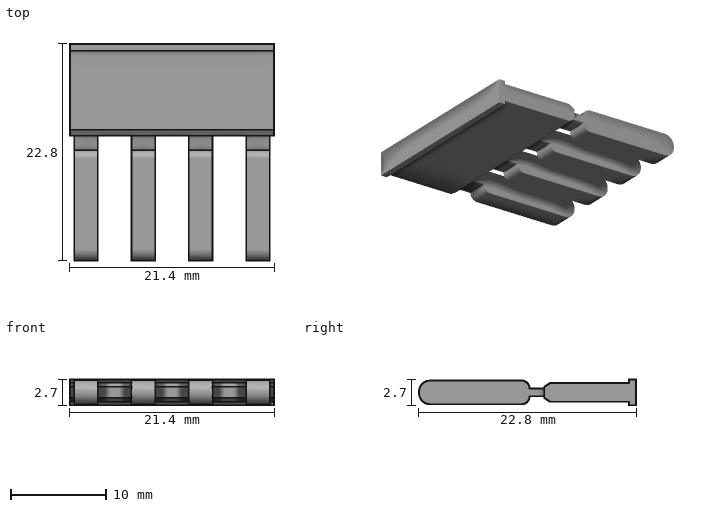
import cadquery as cq

width = 21.4
length = 22.75
height = 2.7

flange_depth = 0.75
body_depth = 9.65
body_thickness = 1.98
chamfer_depth = 0.64
chamfer_height = 0.4

pin_count = 4
pin_pitch = 6.0
pin_width = 2.5
pin_thickness = 2.5
neck_length = 1.5
neck_thickness = 0.85
shoulder_radius = 0.85
tip_radius = 1.18

back_y = length / 2
tip_y = -length / 2
body_front_y = back_y - body_depth
pin_back_y = body_front_y - neck_length


def block(size_x, back, front, size_z):
    """Box centred in X and Z that runs from back to front along Y."""
    return cq.Workplane("XY").box(size_x, back - front, size_z).translate((0, (back + front) / 2, 0))


def make_body():
    flange = block(width, back_y, back_y - flange_depth, height)
    half = body_thickness / 2
    nose_half = half - chamfer_height
    chamfer_y = body_front_y + chamfer_depth
    plate = (
        cq.Workplane("YZ")
        .polyline([
            (back_y, half),
            (chamfer_y, half),
            (body_front_y, nose_half),
            (body_front_y, -nose_half),
            (chamfer_y, -half),
            (back_y, -half),
        ])
        .close()
        .extrude(width / 2, both=True)
    )
    return flange.union(plate)


def make_pin():
    blade = block(pin_width, pin_back_y, tip_y, pin_thickness)
    blade = blade.faces(">Y").edges("|X").fillet(shoulder_radius)
    blade = blade.faces("<Y").edges("|X").fillet(tip_radius)
    neck = block(pin_width, back_y - flange_depth, pin_back_y - shoulder_radius, neck_thickness)
    return blade.union(neck)


result = make_body()
pin = make_pin()
for index in range(pin_count):
    pin_x = (index - (pin_count - 1) / 2) * pin_pitch
    result = result.union(pin.translate((pin_x, 0, 0)))